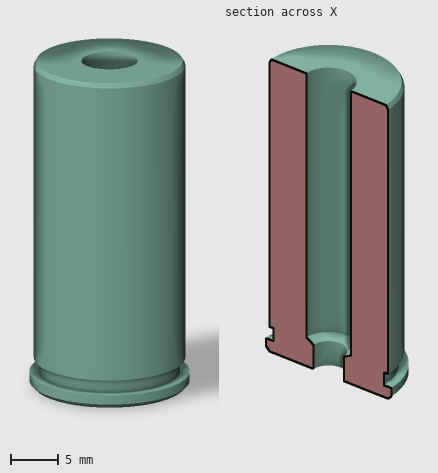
import cadquery as cq
import math

height = 36.0
rim_radius = 8.5
body_radius = 8.03
groove_radius = 7.5

rim_height = 1.5
groove_height = 1.5
rim_chamfer_height = 0.5
rim_chamfer_width = 0.5

mouth_chamfer_height = 0.5
mouth_chamfer_width = 0.3

bore_radius = 3.0
base_hole_radius = 2.0
base_hole_depth = 3.0
seat_angle = 120.0
seat_height = (bore_radius - base_hole_radius) / math.tan(math.radians(seat_angle / 2))

groove_top = rim_height + groove_height

half_section = [
    (base_hole_radius, 0),
    (rim_radius - rim_chamfer_width, 0),
    (rim_radius, rim_chamfer_height),
    (rim_radius, rim_height),
    (groove_radius, rim_height),
    (groove_radius, groove_top),
    (body_radius, groove_top),
    (body_radius, height - mouth_chamfer_height),
    (body_radius - mouth_chamfer_width, height),
    (bore_radius, height),
    (bore_radius, base_hole_depth + seat_height),
    (base_hole_radius, base_hole_depth),
]

result = cq.Workplane("XZ").polyline(half_section).close().revolve(360, (0, 0), (0, 1))